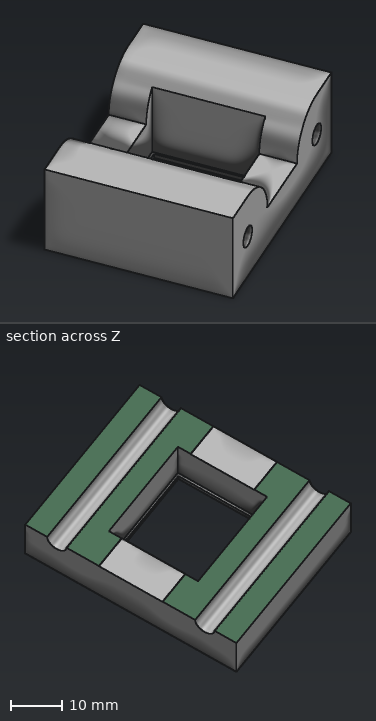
import cadquery as cq

width = 40.0
length = 50.0
height = 20.0

rail_radius = 10.0
rail_axis_y = 17.5
web_height = height - rail_radius
rod_hole_diameter = 4.5

pocket_width = 24.0
pocket_length = 21.0
opening_width = 22.8
opening_length = 20.0
ledge_height = 1.0


def rail_profile():
    """Return the YZ outline of the block with its two quarter-round rails."""
    half_length = length / 2
    gap_edge = rail_axis_y - rail_radius
    diagonal = rail_radius * 0.5**0.5
    arc_y = rail_axis_y - diagonal
    arc_z = web_height + diagonal
    return (
        cq.Workplane("YZ")
        .moveTo(-half_length, 0)
        .lineTo(half_length, 0)
        .lineTo(half_length, height)
        .lineTo(rail_axis_y, height)
        .threePointArc((arc_y, arc_z), (gap_edge, web_height))
        .lineTo(-gap_edge, web_height)
        .threePointArc((-arc_y, arc_z), (-rail_axis_y, height))
        .lineTo(-half_length, height)
        .close()
    )


def rod_holes():
    """Return the two cylinders that run along X on the rail axes."""
    return (
        cq.Workplane("YZ")
        .pushPoints([(-rail_axis_y, web_height), (rail_axis_y, web_height)])
        .circle(rod_hole_diameter / 2)
        .extrude(width / 2, both=True)
    )


def stepped_window():
    """Return the volume of the through opening and the larger pocket above it."""
    opening = cq.Workplane("XY").rect(opening_width, opening_length).extrude(height)
    pocket = (
        cq.Workplane("XY")
        .workplane(offset=ledge_height)
        .rect(pocket_width, pocket_length)
        .extrude(height - ledge_height)
    )
    return opening.union(pocket)


body = rail_profile().extrude(width / 2, both=True)
result = body.cut(rod_holes()).cut(stepped_window())